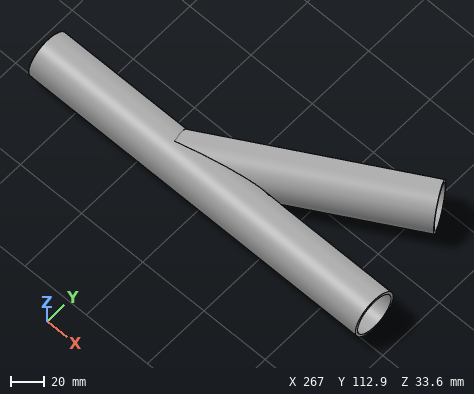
import cadquery as cq

outer_diameter = 33.6
inner_diameter = 29.6

main_length = 267.0

branch_start = 103.9
branch_angle = 30.0
branch_length = 163.1


def rod(diameter, length):
    """Solid rod along +X, starting at the origin."""
    return cq.Workplane("YZ").circle(diameter / 2).extrude(length)


def wye(diameter):
    """Solid main rod joined by the angled branch rod of the same diameter."""
    main = rod(diameter, main_length)
    branch = (
        rod(diameter, branch_length)
        .rotate((0, 0, 0), (0, 0, 1), branch_angle)
        .translate((branch_start, 0, 0))
    )
    return main.union(branch)


result = wye(outer_diameter).cut(wye(inner_diameter))